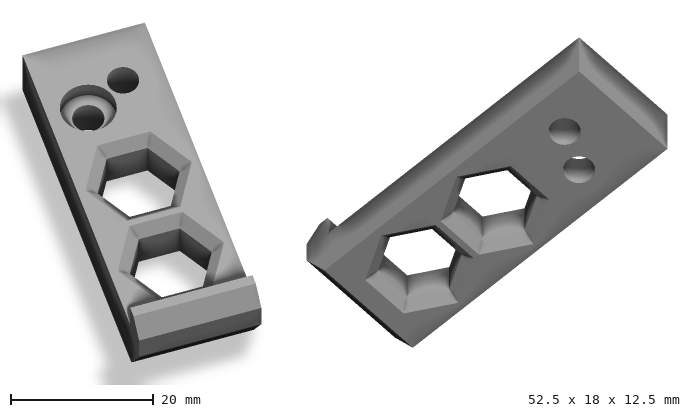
import cadquery as cq
import math

length = 52.5
width = 18.0
height = 12.5
base_height = 8.5
lip_start = 48.45
lip_chamfer = 2.5
undercut_start = 49.05
undercut_height = 6.05

hole_diameter = 4.5
counterbore_diameter = 8.0
counterbore_depth = 2.5
plain_hole_center = (8.45, 12.0)
counterbored_hole_center = (11.45, 5.95)

hex_flats = 10.45
hex_mouth_flats = 13.55
hex_bevel_depth = 1.5
hex_first_x = 24.75
hex_spacing = 14.5
hex_count = 2


def make_body():
    profile = [
        (0, 0),
        (undercut_start, 0),
        (length, undercut_height),
        (length, height - lip_chamfer),
        (length - lip_chamfer, height),
        (lip_start, height),
        (lip_start, base_height),
        (0, base_height),
    ]
    return cq.Workplane("XZ").polyline(profile).close().extrude(-width)


def add_hexagon(plane, flats):
    """Draw a hexagon with the given distance across its flats, which face X."""
    corner_diameter = flats / math.cos(math.pi / 6)
    return plane.transformed(rotate=(0, 0, 90)).polygon(6, corner_diameter)


def make_flare(center_x, face_z, depth):
    """Hexagonal flare that narrows from a face into the block; depth is signed along Z."""
    mouth = cq.Workplane("XY", origin=(center_x, width / 2, face_z))
    taper = math.degrees(math.atan((hex_mouth_flats - hex_flats) / 2 / hex_bevel_depth))
    return add_hexagon(mouth, hex_mouth_flats).extrude(depth, taper=taper)


def make_hex_cutter(center_x):
    """Straight hexagonal opening that flares at both the top and bottom faces."""
    floor = cq.Workplane("XY", origin=(center_x, width / 2, 0))
    straight = add_hexagon(floor, hex_flats).extrude(base_height)
    top_flare = make_flare(center_x, base_height, -hex_bevel_depth)
    bottom_flare = make_flare(center_x, 0, hex_bevel_depth)
    return straight.union(top_flare).union(bottom_flare)


top_plane = cq.Workplane("XY", origin=(0, 0, base_height))
plain_hole = top_plane.center(*plain_hole_center).circle(hole_diameter / 2).extrude(-base_height)
bored_center = top_plane.center(*counterbored_hole_center)
bored_hole = bored_center.circle(hole_diameter / 2).extrude(-base_height)
counterbore = bored_center.circle(counterbore_diameter / 2).extrude(-counterbore_depth)

result = make_body().cut(plain_hole).cut(bored_hole).cut(counterbore)
for index in range(hex_count):
    result = result.cut(make_hex_cutter(hex_first_x + index * hex_spacing))